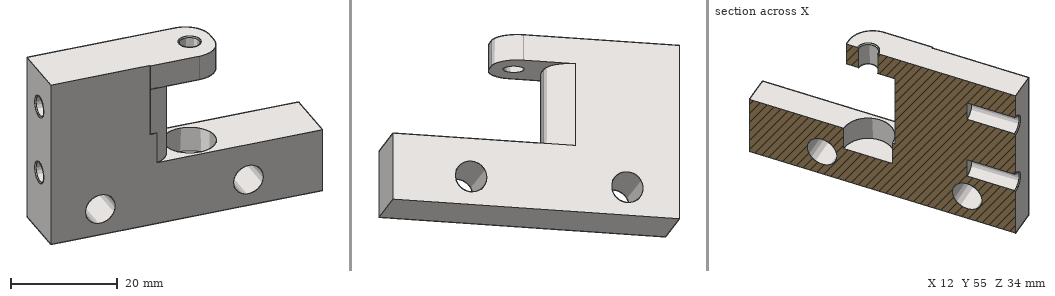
import cadquery as cq

length = 55.0
height = 34.0
body_width = 11.75
head_width = 12.0
hole_x = head_width / 2

foot_height = 13.0
arm_thickness = 5.0
column_start = 20.0
column_end = 24.95
arm_end = 35.0
corner_radius = 5.0
lip_bottom = 19.35
arm_bottom = height - arm_thickness

cross_hole_diameter = 6.0
cross_hole_z = 5.5
cross_hole_ys = (10.0, 40.0)
pin_diameter = 3.9
pin_chamfer = 0.2
pin_hole_y = 30.45
front_hole_zs = (12.5, 26.5)
front_hole_depth = 10.0
pocket_diameter = 10.0
pocket_depth = 5.0


def box(width, y_start, y_end, z_start, z_end):
    """Box with one side on the X = 0 face."""
    size = (width, y_end - y_start, z_end - z_start)
    return cq.Workplane("XY").box(*size, centered=False).translate((0, y_start, z_start))


def rounded_end(y_end, z_start, z_end):
    """Head-width block from the column start with both far vertical corners rounded."""
    block = box(head_width, 0, y_end, z_start, z_end).edges("|Z and >Y").fillet(corner_radius)
    return block.intersect(box(head_width, column_start, y_end, z_start, z_end))


def chamfered_hole(origin, direction, depth):
    """Cutter for a pin hole with a countersunk mouth at the origin."""
    start = cq.Vector(*origin)
    axis = cq.Vector(*direction)
    radius = pin_diameter / 2
    bore = cq.Solid.makeCylinder(radius, depth, start, axis)
    mouth = cq.Solid.makeCone(radius + pin_chamfer, radius, pin_chamfer, start, axis)
    return cq.Workplane(bore.fuse(mouth))


foot = box(body_width, 0, length, 0, foot_height)
upright = box(body_width, 0, column_start, 0, height)
lower_column = rounded_end(column_end, foot_height, lip_bottom).intersect(
    box(body_width, column_start, column_end, foot_height, lip_bottom)
)
upper_column = rounded_end(column_end, lip_bottom, arm_bottom)
arm = rounded_end(arm_end, arm_bottom, height)
result = foot.union(upright).union(lower_column).union(upper_column).union(arm)

for y in cross_hole_ys:
    cross_hole = cq.Solid.makeCylinder(
        cross_hole_diameter / 2, head_width, cq.Vector(0, y, cross_hole_z), cq.Vector(1, 0, 0)
    )
    result = result.cut(cq.Workplane(cross_hole))

for z in front_hole_zs:
    result = result.cut(chamfered_hole((hole_x, 0, z), (0, 1, 0), front_hole_depth))

result = result.cut(chamfered_hole((hole_x, pin_hole_y, height), (0, 0, -1), arm_thickness))

pocket = cq.Solid.makeCylinder(
    pocket_diameter / 2, pocket_depth, cq.Vector(hole_x, pin_hole_y, foot_height - pocket_depth)
)
result = result.cut(cq.Workplane(pocket))